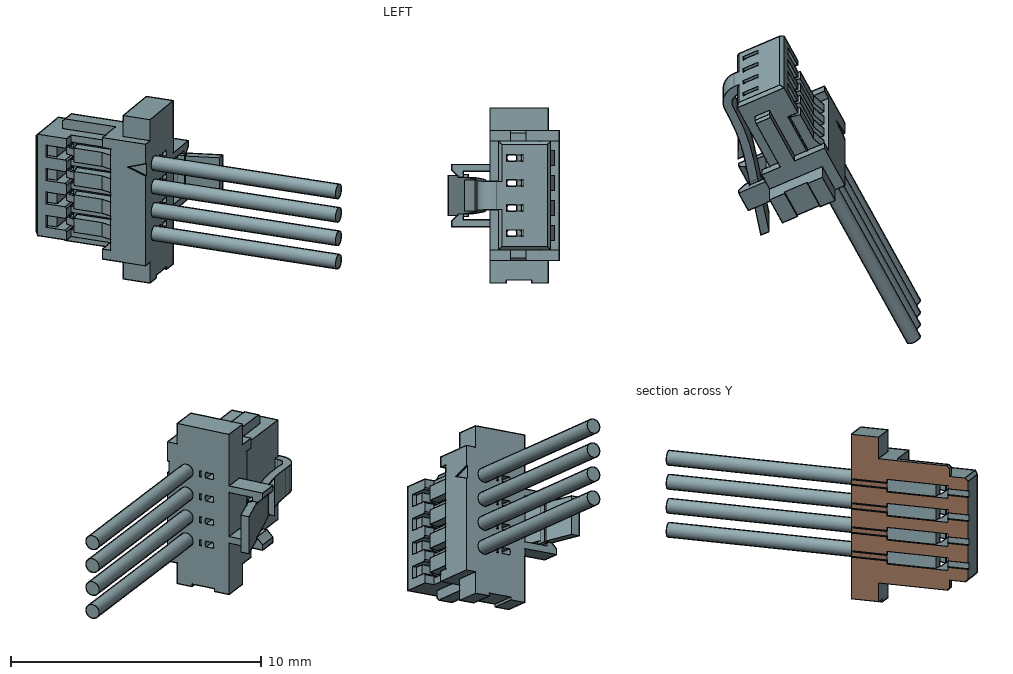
import cadquery as cq
import math


total_length = 13
total_depth = 4.45
total_width = 7.0

contact_count = 4
contact_pitch = 1.0
contact_places = [(index - (contact_count - 1) / 2) * contact_pitch for index in range(contact_count)]

nose_width = 4.34
nose_y_low = 0.35
nose_y_high = 2.43
nose_chamfer = 0.13

flange_front = 3.1
flange_back = 4.98
flange_width = 5.2
flange_top = 2.78
recess_floor = 3.46

ear_front = 3.81
ear_y_low = 0.44
ear_notch_y_low = 1.1
ear_notch_y_high = 2.12
ear_notch_depth = 0.12

rib_front = 0.79
rib_y_low = 1.33
rib_y_high = 1.96
rib_chamfer = 0.1

slot_height = 0.25
slot_y_low = 1.45
slot_y_high = 2.1
web_centre_y = 1.9
web_inner_radius = 0.2
web_outer_radius = 0.39
window_front = 0.48
window_depth = 0.2
channel_front = 0.88
channel_width = 0.51
mouth_flare = 0.06
step_front = 1.39
step_y = 0.79
groove_width = 0.74
groove_floor = 1.04

lance_front = 1.61
lance_front_slant = 0.08
lance_width = 0.6
lance_y_low = 0.39
lance_y_high = 0.85
lance_ramp_start = 2.91
lance_root_y = 0.2
tip_end = 1.2
tip_width = 0.31
tip_thickness = 0.14
tip_y_at_lance = 0.58
tip_y_at_end = 0.78

mark_length = 0.78
mark_half_width = 0.26
mark_depth = 0.06

latch_thickness = 0.35
latch_outer_radius = 0.78
latch_inner_radius = 0.39
latch_root_y = 2.3
latch_tip_x = 6.42
latch_angle = math.radians(15.2)
latch_bend_start = 1.12
latch_bend_radius = 7.8
latch_root_half_width = 0.56
latch_neck_half_width = 0.73
latch_tip_half_width = 0.8
stop_front = 4.58
stop_back = 5.1
stop_y_low = 3.64
stop_y_high = 3.84
stop_half_width = 0.85
barb_front = 2.22
barb_back = 2.99
barb_y_low = 3.38
barb_y_high = 3.8
barb_half_width = 0.62

guard_front = 4.1
guard_top = 4.3
guard_outer = 1.25
guard_inner = 0.96
hook_inner = 0.74
hook_y_low = 3.84
hook_lead_in = 0.27

wire_diameter = 0.6
wire_y = 0.86


def box(x_range, y_range, z_range):
    """Box between two limits along each axis."""
    lengths = [high - low for low, high in (x_range, y_range, z_range)]
    corner = (x_range[0], y_range[0], z_range[0])
    return cq.Workplane("XY").box(*lengths, centered=False).translate(corner)


def centred_box(x_range, y_range, width, z_middle=0):
    """Box centred on z_middle along the row."""
    return box(x_range, y_range, (z_middle - width / 2, z_middle + width / 2))


def plate(profile, width, z_middle=0):
    """Extrude an XY profile to a width centred on z_middle."""
    return profile.extrude(width / 2, both=True).translate((0, 0, z_middle))


def make_nose():
    nose = centred_box((0, flange_back), (nose_y_low, nose_y_high), nose_width)
    nose = nose.faces("<X").chamfer(nose_chamfer)
    step = centred_box((step_front, recess_floor), (nose_y_low, step_y), nose_width)
    return nose.cut(step)


def make_flange():
    flange = centred_box((flange_front, flange_back), (0, flange_top), flange_width)
    recess = centred_box((flange_front, recess_floor), (0, flange_top), nose_width)
    ears = centred_box((ear_front, flange_back), (ear_y_low, flange_top), total_width)
    ear_notch = box(
        (ear_front, flange_back),
        (ear_notch_y_low, ear_notch_y_high),
        (-total_width / 2, -total_width / 2 + ear_notch_depth),
    )
    return flange.cut(recess).union(ears).cut(ear_notch)


def make_guide_ribs():
    ribs = centred_box((rib_front, flange_back), (rib_y_low, rib_y_high), flange_width)
    return ribs.edges("<X and |Y").chamfer(rib_chamfer)


def make_cavity(z_middle):
    """Through slot, window, channel, inner chamber and lance groove of one contact.

    A curved web divides the slot where it passes through the flange.
    """
    slot = centred_box((0, flange_back), (slot_y_low, slot_y_high), slot_height, z_middle)
    web = (
        cq.Workplane("YZ", origin=(recess_floor, web_centre_y, z_middle))
        .circle(web_outer_radius)
        .circle(web_inner_radius)
        .extrude(flange_back - recess_floor)
    )
    slot = slot.cut(web)
    window = centred_box(
        (window_front, channel_front), (nose_y_low, nose_y_low + window_depth), channel_width, z_middle
    )
    channel = centred_box((channel_front, step_front), (nose_y_low, slot_y_low), channel_width, z_middle)
    chamber = centred_box((channel_front, recess_floor), (slot_y_low, slot_y_high), channel_width, z_middle)
    groove = centred_box((step_front, recess_floor), (0, groove_floor), groove_width, z_middle)
    mouth = (
        cq.Workplane("XZ", origin=(0, groove_floor, z_middle))
        .moveTo(step_front - mouth_flare, -channel_width / 2)
        .lineTo(step_front, -channel_width / 2 - mouth_flare)
        .lineTo(step_front, channel_width / 2 + mouth_flare)
        .lineTo(step_front - mouth_flare, channel_width / 2)
        .close()
        .extrude(groove_floor - nose_y_low)
    )
    return slot.union(window).union(channel).union(chamber).union(groove).union(mouth)


def make_lance(z_middle):
    """Cantilever lance rooted in the flange, with a narrow tip slanting into the channel."""
    beam = (
        cq.Workplane("XY")
        .moveTo(lance_front, lance_y_high)
        .lineTo(lance_front + lance_front_slant, lance_y_low)
        .lineTo(lance_ramp_start, lance_y_low)
        .lineTo(recess_floor, lance_root_y)
        .lineTo(recess_floor, lance_y_high)
        .close()
    )
    tip_root = lance_front + lance_front_slant
    tip = (
        cq.Workplane("XY")
        .moveTo(tip_end, tip_y_at_end)
        .lineTo(tip_root, tip_y_at_lance)
        .lineTo(tip_root, tip_y_at_lance + tip_thickness)
        .lineTo(tip_end, tip_y_at_end + tip_thickness)
        .close()
    )
    return plate(beam, lance_width, z_middle).union(plate(tip, tip_width, z_middle))


def make_first_contact_mark():
    """Triangular recess that points away from the wires."""
    return (
        cq.Workplane("XZ")
        .moveTo(flange_back - mark_length, 0)
        .lineTo(flange_back, mark_half_width)
        .lineTo(flange_back, -mark_half_width)
        .close()
        .extrude(-mark_depth)
        .translate((0, 0, contact_places[-1]))
    )


def make_latch_arm():
    """Curved arm that rises from the nose face and widens toward its free end."""
    bend_middle_x = latch_bend_start + latch_bend_radius * math.tan(latch_angle / 2)
    top_y = total_depth - (latch_tip_x - bend_middle_x) * math.tan(latch_angle)
    under_y = top_y - latch_thickness
    outer_centre_y = top_y - latch_outer_radius
    inner_centre_y = under_y - latch_inner_radius
    root_thickness = latch_outer_radius - latch_inner_radius
    bend_centre_y = top_y + latch_bend_radius

    def root_arc(radius, centre_y):
        reach = radius * math.sqrt(0.5)
        return (latch_outer_radius - reach, centre_y + reach)

    def bend_arc(radius, angle):
        return (latch_bend_start + radius * math.sin(angle), bend_centre_y - radius * math.cos(angle))

    under_radius = latch_bend_radius + latch_thickness
    tip_under_y = total_depth - latch_thickness / math.cos(latch_angle)
    profile = (
        cq.Workplane("XY")
        .moveTo(0, latch_root_y)
        .lineTo(0, outer_centre_y)
        .threePointArc(root_arc(latch_outer_radius, outer_centre_y), (latch_outer_radius, top_y))
        .lineTo(latch_bend_start, top_y)
        .threePointArc(bend_arc(latch_bend_radius, latch_angle / 2), bend_arc(latch_bend_radius, latch_angle))
        .lineTo(latch_tip_x, total_depth)
        .lineTo(latch_tip_x, tip_under_y)
        .lineTo(*bend_arc(under_radius, latch_angle))
        .threePointArc(bend_arc(under_radius, latch_angle / 2), (latch_bend_start, under_y))
        .lineTo(latch_outer_radius, under_y)
        .threePointArc(root_arc(latch_inner_radius, inner_centre_y), (root_thickness, inner_centre_y))
        .lineTo(root_thickness, latch_root_y)
        .close()
    )
    half_outline = [
        (0, latch_root_half_width),
        (guard_front, latch_neck_half_width),
        (flange_back, latch_neck_half_width),
        (flange_back, latch_tip_half_width),
        (latch_tip_x, latch_tip_half_width),
    ]
    mirrored = [(x, -z) for x, z in reversed(half_outline)]
    outline = cq.Workplane("XZ").polyline(half_outline + mirrored).close().extrude(-total_depth)
    stops = centred_box((stop_front, stop_back), (stop_y_low, stop_y_high), 2 * stop_half_width)
    barb = (
        cq.Workplane("XY")
        .moveTo(barb_front, top_y)
        .lineTo(barb_front, barb_y_low)
        .lineTo(barb_back, barb_y_high)
        .lineTo(barb_back, top_y)
        .close()
    )
    arm = plate(profile, total_width).intersect(outline)
    return arm.union(stops).union(plate(barb, 2 * barb_half_width))


def make_guard():
    """Guard on the +Z side of the latch arm, with a hook over the arm's stop."""
    return (
        cq.Workplane("YZ", origin=(guard_front, 0, 0))
        .moveTo(flange_top, guard_outer)
        .lineTo(guard_top, guard_outer)
        .lineTo(guard_top, hook_inner + hook_lead_in)
        .lineTo(guard_top - hook_lead_in, hook_inner)
        .lineTo(hook_y_low, hook_inner)
        .lineTo(hook_y_low, guard_inner)
        .lineTo(flange_top, guard_inner)
        .close()
        .extrude(flange_back - guard_front)
    )


def make_wire(z_middle):
    return (
        cq.Workplane("YZ", origin=(flange_back, wire_y, z_middle))
        .circle(wire_diameter / 2)
        .extrude(total_length - flange_back)
    )


def make_housing():
    """Connector housing in one piece with the wires of the inner contacts."""
    housing = make_nose().union(make_flange()).union(make_guide_ribs())
    for place in contact_places:
        housing = housing.cut(make_cavity(place))
    for place in contact_places:
        housing = housing.union(make_lance(place))
    housing = housing.cut(make_first_contact_mark())
    guard = make_guard()
    housing = housing.union(make_latch_arm()).union(guard).union(guard.mirror("XY"))
    for place in contact_places[1:-1]:
        housing = housing.union(make_wire(place))
    return housing


housing = make_housing()
end_wires = [make_wire(place) for place in (contact_places[0], contact_places[-1])]

result = cq.Compound.makeCompound([housing.val(), *[wire.val() for wire in end_wires]])